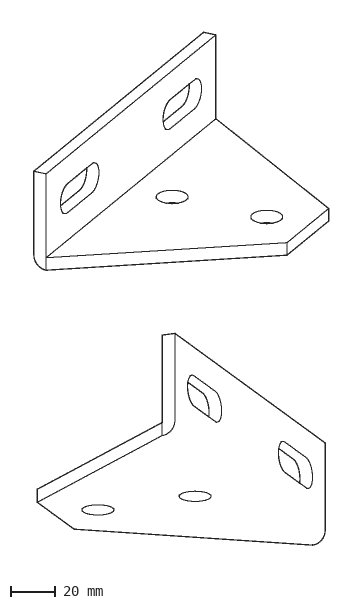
import cadquery as cq

width = 168.1
depth = 95.1
height = 47.5
thickness = 6.2

tip_width = 41.4
hole_diameter = 14.3
hole_spacing = 47.5
near_hole_x = 26.9

slot_length = 38.0
slot_width = hole_diameter
slot_spacing = 101.5
slot_height = thickness + (height - thickness) / 2


def make_upright():
    """Upright plate with its lower outer edge rounded by the bend."""
    profile = (
        cq.Workplane("XZ")
        .moveTo(thickness, 0)
        .radiusArc((0, thickness), thickness)
        .lineTo(0, height)
        .lineTo(thickness, height)
        .close()
    )
    return profile.extrude(width / 2, both=True)


def make_base():
    """Flat trapezoidal plate starting at the inner face of the upright."""
    outline = [
        (thickness, -width / 2),
        (depth, -tip_width / 2),
        (depth, tip_width / 2),
        (thickness, width / 2),
    ]
    return cq.Workplane("XY").polyline(outline).close().extrude(thickness)


def make_base_holes():
    """Round holes on the centre line of the base."""
    centres = [(near_hole_x, 0), (near_hole_x + hole_spacing, 0)]
    return cq.Workplane("XY").pushPoints(centres).circle(hole_diameter / 2).extrude(thickness)


def make_upright_slots():
    """Slots through the upright, symmetric about its middle."""
    centres = [(-slot_spacing / 2, slot_height), (slot_spacing / 2, slot_height)]
    return cq.Workplane("YZ").pushPoints(centres).slot2D(slot_length, slot_width).extrude(thickness)


result = make_upright().union(make_base()).cut(make_base_holes()).cut(make_upright_slots())